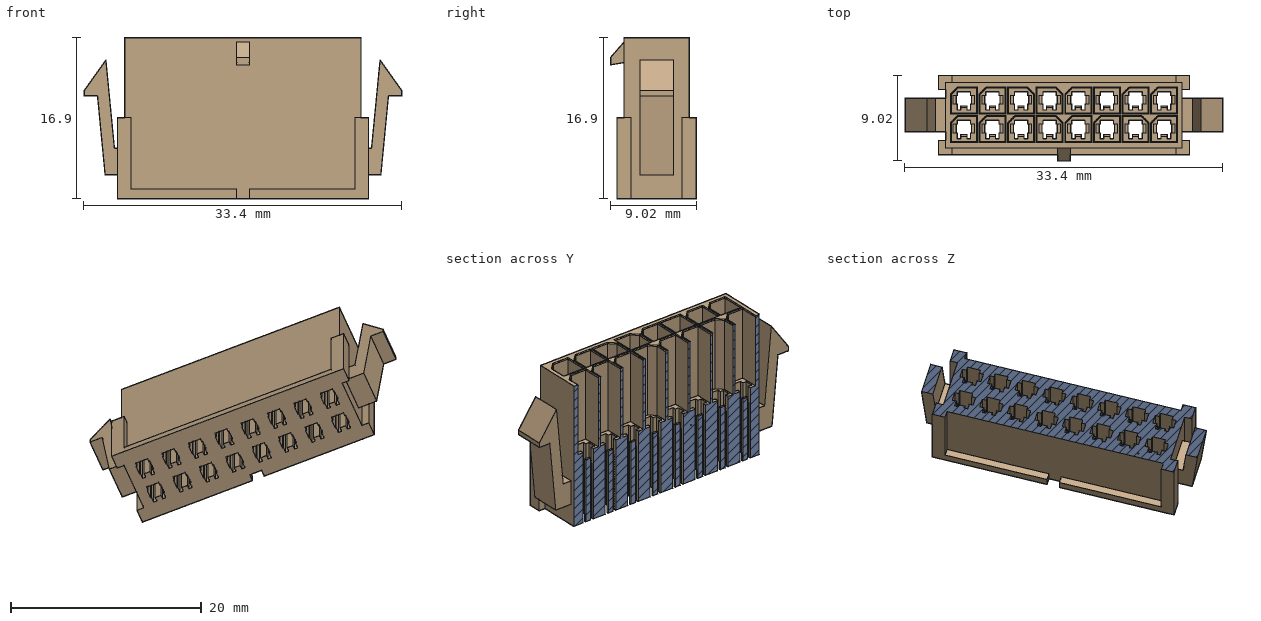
import cadquery as cq

overall_length = 33.35
body_length = 24.8
body_height = 16.9
body_width = 6.87

frame_length = 26.38
frame_width = 8.35
post_inner_x = 11.77
post_inner_y = 2.67
post_height = 8.5
rail_height = 1.0
notch_width = 1.35

key_width = 1.35
key_overhang = 0.67
key_front_y = -frame_width / 2 - key_overhang
key_top_z = 16.45
key_nose_top_z = 14.85
key_nose_bottom_z = 14.05
key_root_bottom_z = 14.27

latch_width = 3.55
latch_foot_bottom_z = 2.5
latch_foot_top_z = 5.3
latch_root_outer_x = 14.47
latch_root_inner_x = 13.47
latch_neck_x = 15.27
latch_tip_x = 14.37
latch_tip_z = 14.57
barb_bottom_z = 10.8
barb_top_z = 11.35

pitch = 3.0
rows_center_y = 0.05
cavity_size = 2.85
cavity_key_cut = 0.77
cavity_floor_z = post_height
mouth_bevel = 0.1
corner_cuts = ["LLRRL-LL", "LLLRLLRL"]

passage_width = 1.37
passage_back_y = 0.9
passage_front_y = -1.0
ear_width = 1.57
pocket_width = 2.25
ear_back_y = 0.5
ear_front_y = -0.4
pocket_depth = 2.0
lance_width = 0.67
lance_tip_y = -0.57
lance_step_y = -0.77
lance_step_depth = 1.0


def block(x0, x1, y0, y1, z0, z1):
    return cq.Workplane("XY").box(x1 - x0, y1 - y0, z1 - z0, centered=False).translate((x0, y0, z0))


def make_body():
    return cq.Workplane("XY").box(body_length, body_width, body_height, centered=(True, True, False))


def make_frame():
    half_length = frame_length / 2
    half_width = frame_width / 2
    wide = cq.Workplane("XY").box(frame_length, frame_width, post_height, centered=(True, True, False))
    window = block(-post_inner_x, post_inner_x, -half_width, half_width, rail_height, post_height)
    end_gap = block(-half_length, half_length, -post_inner_y, post_inner_y, 0, post_height)
    notch = block(-notch_width / 2, notch_width / 2, -half_width, -post_inner_y, 0, rail_height)
    return wide.cut(window).cut(end_gap).cut(notch)


def make_key():
    """Wedge on the front face; its profile starts inside the body."""
    profile = [
        (0, key_top_z),
        (-body_width / 2, key_top_z),
        (key_front_y, key_nose_top_z),
        (key_front_y, key_nose_bottom_z),
        (-body_width / 2, key_root_bottom_z),
        (0, key_root_bottom_z),
    ]
    return cq.Workplane("YZ").polyline(profile).close().extrude(key_width / 2, both=True)


def make_latch():
    """Latch at the +X end: a foot on the end face, a leaning arm and a barb."""
    profile = [
        (body_length / 2, latch_foot_bottom_z),
        (latch_root_outer_x, latch_foot_bottom_z),
        (latch_neck_x, barb_bottom_z),
        (overall_length / 2, barb_bottom_z),
        (overall_length / 2, barb_top_z),
        (latch_tip_x, latch_tip_z),
        (latch_root_inner_x, latch_foot_top_z),
        (body_length / 2, latch_foot_top_z),
    ]
    return cq.Workplane("XZ").polyline(profile).close().extrude(latch_width / 2, both=True)


def make_cavity(corner_cut):
    """Contact cavity centred on the Z axis, with a bevelled mouth."""
    half = cavity_size / 2
    side = {"L": -1, "R": 1, "-": 1}[corner_cut]
    outline = [(-side * half, half), (-side * half, -half), (side * half, -half)]
    if corner_cut == "-":
        outline += [(side * half, half)]
    else:
        outline += [(side * half, half - cavity_key_cut), (side * (half - cavity_key_cut), half)]
    top = cq.Workplane("XY", origin=(0, 0, body_height)).polyline(outline).close()
    mouth = top.extrude(-mouth_bevel, taper=45)
    shaft_depth = body_height - mouth_bevel - cavity_floor_z
    return mouth.faces("<Z").wires().toPending().workplane().extrude(shaft_depth)


def make_passage():
    """Terminal passage centred on the Z axis, from the base to the cavity floor."""
    half_passage = passage_width / 2
    half_lance = lance_width / 2
    pocket_floor_z = cavity_floor_z - pocket_depth
    step_z = cavity_floor_z - lance_step_depth
    passage = block(-half_passage, half_passage, passage_front_y, passage_back_y, 0, cavity_floor_z)
    lance = block(-half_lance, half_lance, passage_front_y, lance_tip_y, 0, step_z)
    lance_top = block(-half_lance, half_lance, passage_front_y, lance_step_y, step_z, cavity_floor_z)
    ears = block(-ear_width / 2, ear_width / 2, ear_front_y, ear_back_y, 0, cavity_floor_z)
    pocket = block(-pocket_width / 2, pocket_width / 2, ear_front_y, ear_back_y, pocket_floor_z, cavity_floor_z)
    return passage.cut(lance).cut(lance_top).union(ears).union(pocket)


latch = make_latch()
result = make_body().union(make_frame()).union(make_key()).union(latch).union(latch.mirror("YZ"))

passage_shape = make_passage()
for row, row_cuts in enumerate(corner_cuts):
    row_y = rows_center_y + (0.5 - row) * pitch
    for column, corner_cut in enumerate(row_cuts):
        column_x = (column - (len(row_cuts) - 1) / 2) * pitch
        contact = make_cavity(corner_cut).union(passage_shape)
        result = result.cut(contact.translate((column_x, row_y, 0)))